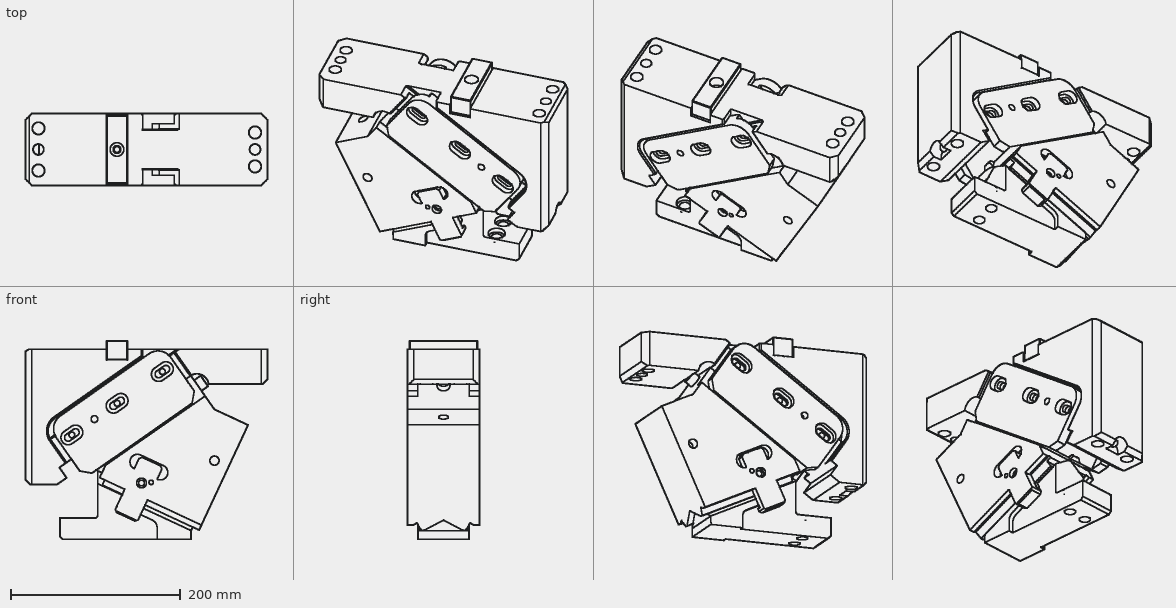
import cadquery as cq
import math


HALF_WIDTH = 42.5
HOUSING_LENGTH = 285.0
HOUSING_TOP = 224.0
HOUSING_BOTTOM = 64.5
ARM_BOTTOM = 182.7
OVERALL_TOP = 234.0
DRILL_POINT_ANGLE = 118.0

SLIDE_ANGLE = 35.0
DRIVE_ANGLE = -25.0
SLIDE_ORIGIN = (54.2, 94.3)
DRIVE_ORIGIN = (130.2, 52.7)


def tilted_point(origin, angle, along, up):
    """XZ position of a point given along and square to a tilted direction."""
    c = math.cos(math.radians(angle))
    s = math.sin(math.radians(angle))
    return (origin[0] + along * c - up * s, origin[1] + along * s + up * c)


def slide_point(along, up):
    return tilted_point(SLIDE_ORIGIN, SLIDE_ANGLE, along, up)


def drive_point(along, up):
    return tilted_point(DRIVE_ORIGIN, DRIVE_ANGLE, along, up)


def side_plane(origin, angle, y):
    """Workplane facing -Y at distance y in front of the middle, with its x axis along the tilt."""
    direction = (math.cos(math.radians(angle)), 0, math.sin(math.radians(angle)))
    return cq.Workplane(cq.Plane(origin=(origin[0], -y, origin[1]), xDir=direction, normal=(0, -1, 0)))


def slide_side(y):
    return side_plane(SLIDE_ORIGIN, SLIDE_ANGLE, y)


def drive_side(y):
    return side_plane(DRIVE_ORIGIN, DRIVE_ANGLE, y)


def cross_plane(angle, start):
    """Workplane at XZ point start whose normal runs along the tilt, with its x axis along +Y."""
    direction = (math.cos(math.radians(angle)), 0, math.sin(math.radians(angle)))
    return cq.Workplane(cq.Plane(origin=(start[0], 0, start[1]), xDir=(0, 1, 0), normal=direction))


def slab(points, half_width):
    """XZ outline extruded symmetrically about Y = 0."""
    return cq.Workplane("XZ").polyline(points).close().extrude(half_width, both=True)


def both_sides(near):
    """A feature on the -Y side together with its mirror image on the +Y side."""
    return near.union(near.mirror("XZ"))


def drilled_hole(point, surface, radius, depth):
    """Blind hole with a drill-point bottom, bored along +Y from the -Y side at distance surface."""
    inward = cq.Vector(0, 1, 0)
    mouth = cq.Vector(point[0], -surface, point[1])
    tip_length = radius / math.tan(math.radians(DRILL_POINT_ANGLE / 2))
    bore = cq.Solid.makeCylinder(radius, depth, mouth, inward)
    tip = cq.Solid.makeCone(radius, 0, tip_length, mouth + inward * depth, inward)
    return bore.fuse(tip)


PLATE_INNER = 30.2
PLATE_LENGTH = 164.5
PLATE_BOTTOM = -27.5
PLATE_TOP = 49.3
PLATE_CHAMFER = 10.3
PLATE_ROUND = 18.5
LIP_INNER = 23.7
LIP_BOTTOM = 34.8
LIP_END = 150.5
FLANGE_TOP = 33.3
FLANGE_ROOT_RAMP = 1.5
PLATE_HOLE_LINE = 23.0
PLATE_SLOT_PLACES = (16.8, 81.8, 146.8)
DOWEL_PLACE = 49.3
DOWEL_RADIUS = 4.0
SLOT_TRAVEL = 10.5
WIDE_SLOT_RADIUS = 8.5
WIDE_SLOT_DEPTH = 7.7
NARROW_SLOT_RADIUS = 4.3
SMALL_SCREW_RADIUS = 3.5
SMALL_SCREW_DEPTH = 14.2

NECK_HALF_WIDTH = 22.8
SLIDER_END = 171.5
SLIDE_EDGE_ROUND = 4.5
HOOK_WALL = -17.0
HOOK_DEPTH = 14.8
HOOK_HEEL = (37.0, HOUSING_BOTTOM)
ARM_NOTCH_MIDDLE = (205.0, 194.5)
ARM_NOTCH_END_X = 215.5
CORNER_CHAMFER = 7.7
BOTTOM_CHAMFER = 5.7
TOP_CHAMFER_X = 4.3
TOP_CHAMFER_Z = 2.8
RECESS_START = -6.8
RECESS_END = 170.7
RECESS_TOP = 50.7
RECESS_CORNER = 18.5
RECESS_CHAMFER = 1.7
POCKET_LEFT_X = 138.0
LEFT_HOLE_X = 15.5
LEFT_HOLE_Y = 24.8
RIGHT_HOLE_X = 270.2
RIGHT_HOLE_Y = 20.0
BOLT_RADIUS = 7.0
DOWEL_BORE_RADIUS = 6.3
BORE_BOTTOM = 73.8
BORE_TIP = 71.0
NOTCH_RADIUS = 10.0
NOTCH_CENTRE_Z = 67.3
NOTCH_DEPTH = 16.0

KEY_LEFT = 95.2
KEY_WIDTH = 25.0
KEY_BOTTOM = 211.2
KEY_HALF_LENGTH = 40.2
KEY_CHAMFER = 0.9
KEY_BORE_RADIUS = 8.0
KEY_BORE_DEPTH = 12.8
KEY_HOLE_RADIUS = 4.5
KEY_MIDDLE = KEY_LEFT + KEY_WIDTH / 2

SLIDER_LEFT = -47.3
SLIDER_RIGHT = 85.0
SLIDER_TOP = 130.0
SLIDER_SHOULDER = 41.0
LEDGE = -29.4
LEDGE_LEFT = 16.0
BOSS_RADIUS = 7.7
BOSS_CENTRE = -14.2
BOSS_LENGTH = 9.5
LIFT_HOLE_RADIUS = 5.7
LIFT_HOLE_DEPTH = 17.0
SIDE_HOLE = (66.7, 75.2)
SIDE_HOLE_RADIUS = 5.5
SIDE_HOLE_DEPTH = 14.2
TIP_START = -40.8
TIP_Y = 26.2
TIP_HEIGHT = -6.5
UNDERCUT_Y = 31.4
UNDERCUT_HEIGHT = 2.5
STEP_Y = 35.5

CLIP_HALF_WIDTH = 14.8
CLIP_INNER = 32.2
CLIP_BOTTOM = -28.8
CLIP_TOP = 42.8
CLIP_CHAMFER = 1.5
CLIP_CORNER_CHAMFER = 2.8
CLIP_LIP_INNER = 26.8
CLIP_LIP_HEIGHT = 6.5
RELIEF_RADIUS = 8.8
RELIEF_CENTRE = 35.5
CLIP_SCREW = (0.0, 15.0)
CLIP_SCREW_BORE = 5.7
CLIP_SCREW_BORE_DEPTH = 5.7
CLIP_PIN = (10.0, 20.5)
CLIP_PIN_RADIUS = 2.5

DRIVER_HALF_WIDTH = 24.0
DRIVER_FLANGE = 30.2
DRIVER_LEFT = 40.5
DRIVER_WALL = 85.0
DRIVER_RIGHT = 195.0
FOOT_HEIGHT = 25.5
FOOT_CHAMFER = 3.5
WALL_FILLET = 2.8
ROOF_ANGLE = 30.0
ROOF_EDGE = -7.5
ROOF_END = 76.7
FLANGE_START = -13.5
FLANGE_UNDERSIDE = -19.0
FLANGE_FOOT_X = 155.0
FLANGE_FILLET = 10.3
FLANGE_NOSE_ROUND = 4.0
FOOT_BOLT_X = 72.5
FOOT_BOLT_Y = 12.5
FOOT_BORE_RADIUS = 10.0
FOOT_BORE_DEPTH = 5.7
FOOT_BOLT_RADIUS = 6.5
RIDGE = ROOF_EDGE + DRIVER_HALF_WIDTH * math.tan(math.radians(ROOF_ANGLE))

BEYOND = 14.2
LONG_CUT = 342.0


def roof_height(y):
    """Height of the driver roof above the slider underside, at distance y from the middle."""
    return RIDGE - y * math.tan(math.radians(ROOF_ANGLE))


def housing_block():
    notch_start = slide_point(SLIDER_END, 0)
    block = (
        cq.Workplane("XZ")
        .moveTo(0, HOUSING_BOTTOM)
        .lineTo(*HOOK_HEEL)
        .lineTo(*slide_point(HOOK_WALL, -HOOK_DEPTH))
        .lineTo(*slide_point(HOOK_WALL, 0))
        .lineTo(*notch_start)
        .threePointArc(ARM_NOTCH_MIDDLE, (ARM_NOTCH_END_X, ARM_BOTTOM))
        .lineTo(HOUSING_LENGTH, ARM_BOTTOM)
        .lineTo(HOUSING_LENGTH, HOUSING_TOP)
        .lineTo(0, HOUSING_TOP)
        .close()
        .extrude(HALF_WIDTH, both=True)
    )
    left_cut = slab(
        [(0, HOUSING_BOTTOM), (BOTTOM_CHAMFER, HOUSING_BOTTOM), (0, HOUSING_BOTTOM + BOTTOM_CHAMFER)], HALF_WIDTH)
    right_cut = slab(
        [
            (HOUSING_LENGTH, ARM_BOTTOM),
            (HOUSING_LENGTH - BOTTOM_CHAMFER, ARM_BOTTOM),
            (HOUSING_LENGTH, ARM_BOTTOM + BOTTOM_CHAMFER),
        ],
        HALF_WIDTH,
    )
    top_cut = slab(
        [(0, HOUSING_TOP), (TOP_CHAMFER_X, HOUSING_TOP), (0, HOUSING_TOP - TOP_CHAMFER_Z)], HALF_WIDTH)
    corners = (
        cq.Workplane("XY")
        .rect(HOUSING_LENGTH, 2 * HALF_WIDTH)
        .extrude(OVERALL_TOP)
        .edges("|Z")
        .chamfer(CORNER_CHAMFER)
        .translate((HOUSING_LENGTH / 2, 0, 0))
    )
    return block.intersect(corners).cut(left_cut).cut(right_cut).cut(top_cut)


def side_recess():
    """Recess for the -Y plate, flared by a chamfer at its mouth."""
    angle = math.radians(SLIDE_ANGLE)
    pocket_corner = (POCKET_LEFT_X - SLIDE_ORIGIN[0] + RECESS_TOP * math.sin(angle)) / math.cos(angle)
    corner_middle = RECESS_CORNER * (1 - math.sqrt(0.5))

    def outline(y):
        return (
            cq.Workplane("XZ", origin=(0, -y, 0))
            .moveTo(*slide_point(RECESS_START, -BEYOND))
            .lineTo(*slide_point(RECESS_START, RECESS_TOP - RECESS_CORNER))
            .threePointArc(
                slide_point(RECESS_START + corner_middle, RECESS_TOP - corner_middle),
                slide_point(RECESS_START + RECESS_CORNER, RECESS_TOP),
            )
            .lineTo(*slide_point(pocket_corner, RECESS_TOP))
            .lineTo(POCKET_LEFT_X, HOUSING_TOP + BEYOND)
            .lineTo(*slide_point(RECESS_END + BEYOND, FLANGE_TOP))
            .lineTo(*slide_point(RECESS_END, FLANGE_TOP))
            .lineTo(*slide_point(RECESS_END, -BEYOND))
            .close()
        )

    recess = outline(NECK_HALF_WIDTH).extrude(HALF_WIDTH - NECK_HALF_WIDTH)
    mouth = outline(HALF_WIDTH - RECESS_CHAMFER).extrude(RECESS_CHAMFER, taper=-45)
    beyond_recess = (
        slide_side(0)
        .moveTo(RECESS_END + RECESS_CHAMFER, -LONG_CUT)
        .rect(LONG_CUT, 2 * LONG_CUT, centered=False)
        .extrude(HALF_WIDTH)
    )
    return recess.union(mouth.cut(beyond_recess))


def housing_flange():
    """Flange along the sliding surface, with rounded lower edges, that the plates reach over."""
    return (
        cross_plane(SLIDE_ANGLE, slide_point(RECESS_START, FLANGE_TOP / 2))
        .rect(2 * PLATE_INNER, FLANGE_TOP)
        .extrude(RECESS_END - RECESS_START)
        .edges(cq.selectors.NearestToPointSelector(slide_edge(-PLATE_INNER)))
        .fillet(SLIDE_EDGE_ROUND)
        .edges(cq.selectors.NearestToPointSelector(slide_edge(PLATE_INNER)))
        .fillet(SLIDE_EDGE_ROUND)
    )


def flange_root_ramp():
    """Small sloping fillers where the flange top meets the neck above it."""
    wide = NECK_HALF_WIDTH + FLANGE_ROOT_RAMP
    return (
        cross_plane(SLIDE_ANGLE, slide_point(RECESS_START, FLANGE_TOP))
        .polyline(
            [(-wide, 0), (-NECK_HALF_WIDTH, FLANGE_ROOT_RAMP), (NECK_HALF_WIDTH, FLANGE_ROOT_RAMP), (wide, 0)]
        )
        .close()
        .extrude(LONG_CUT)
        .intersect(housing_block())
    )


def slide_edge(y):
    """Middle of the edge where the sliding surface meets the plane at y."""
    x, z = slide_point((RECESS_START + RECESS_END) / 2, 0)
    return (x, y, z)


def plate_screw_holes():
    """Blind holes in the flange behind the plate slots."""
    holes = [
        drilled_hole(slide_point(place, PLATE_HOLE_LINE), PLATE_INNER, SMALL_SCREW_RADIUS, SMALL_SCREW_DEPTH)
        for place in PLATE_SLOT_PLACES
    ]
    return both_sides(cq.Workplane(cq.Compound.makeCompound(holes)))


def housing_bolt_holes():
    bolts = (
        cq.Workplane("XY")
        .pushPoints(
            [
                (LEFT_HOLE_X, LEFT_HOLE_Y),
                (LEFT_HOLE_X, -LEFT_HOLE_Y),
                (RIGHT_HOLE_X, RIGHT_HOLE_Y),
                (RIGHT_HOLE_X, -RIGHT_HOLE_Y),
            ]
        )
        .circle(BOLT_RADIUS)
        .extrude(LONG_CUT)
    )
    dowel = cq.Workplane("XY").center(RIGHT_HOLE_X, 0).circle(DOWEL_BORE_RADIUS).extrude(LONG_CUT)
    return bolts.union(dowel)


def left_dowel_bore():
    """Deep bore with a cone-shaped bottom at the middle of the left end."""
    return (
        cq.Workplane("XZ", origin=(LEFT_HOLE_X, 0, 0))
        .polyline(
            [
                (0, BORE_TIP),
                (DOWEL_BORE_RADIUS, BORE_BOTTOM),
                (DOWEL_BORE_RADIUS, OVERALL_TOP),
                (0, OVERALL_TOP),
            ]
        )
        .close()
        .revolve(360, (0, 0, 0), (0, 1, 0))
    )


def bottom_notch():
    """Round-topped notch in the left end that opens half of the dowel bore."""
    return (
        cq.Workplane("YZ")
        .moveTo(-NOTCH_RADIUS, 0)
        .lineTo(-NOTCH_RADIUS, NOTCH_CENTRE_Z)
        .threePointArc((0, NOTCH_CENTRE_Z + NOTCH_RADIUS), (NOTCH_RADIUS, NOTCH_CENTRE_Z))
        .lineTo(NOTCH_RADIUS, 0)
        .close()
        .extrude(NOTCH_DEPTH)
    )


def key_seat():
    seat = slab(
        [
            (KEY_LEFT, KEY_BOTTOM),
            (KEY_LEFT + KEY_WIDTH, KEY_BOTTOM),
            (KEY_LEFT + KEY_WIDTH, HOUSING_TOP),
            (KEY_LEFT, HOUSING_TOP),
        ],
        HALF_WIDTH,
    )
    screw_hole = (
        cq.Workplane("XY", origin=(KEY_MIDDLE, 0, KEY_BOTTOM - SMALL_SCREW_DEPTH))
        .circle(SMALL_SCREW_RADIUS)
        .extrude(SMALL_SCREW_DEPTH)
    )
    return seat.union(screw_hole)


def make_housing():
    return (
        housing_block()
        .cut(both_sides(side_recess()))
        .union(housing_flange())
        .union(flange_root_ramp())
        .cut(plate_screw_holes())
        .cut(housing_bolt_holes())
        .cut(left_dowel_bore())
        .cut(bottom_notch())
        .cut(key_seat())
    )


def make_key():
    height = OVERALL_TOP - KEY_BOTTOM
    bar = (
        cq.Workplane("XY")
        .box(KEY_WIDTH, 2 * KEY_HALF_LENGTH, height)
        .edges()
        .chamfer(KEY_CHAMFER)
        .faces(">Z")
        .workplane()
        .cboreHole(2 * KEY_HOLE_RADIUS, 2 * KEY_BORE_RADIUS, KEY_BORE_DEPTH)
    )
    return bar.translate((KEY_MIDDLE, 0, KEY_BOTTOM + height / 2))


def slider_block():
    return slab(
        [
            drive_point(TIP_START, TIP_HEIGHT),
            drive_point(TIP_START, 0),
            drive_point(SLIDER_LEFT, 0),
            drive_point(SLIDER_LEFT, LEDGE_LEFT),
            slide_point(SLIDER_END, LEDGE),
            drive_point(SLIDER_SHOULDER, SLIDER_TOP),
            drive_point(SLIDER_RIGHT, SLIDER_TOP),
            drive_point(SLIDER_RIGHT, TIP_HEIGHT),
        ],
        HALF_WIDTH,
    )


def slider_tongue():
    """Middle part between the plates, carrying the sliding surface on rounded upper edges."""
    lower = slab(
        [
            drive_point(SLIDER_LEFT, LEDGE_LEFT - BEYOND),
            drive_point(SLIDER_LEFT, LEDGE_LEFT),
            slide_point(SLIDER_END / 4, PLATE_BOTTOM),
            slide_point(SLIDER_END, PLATE_BOTTOM),
            slide_point(SLIDER_END, LEDGE),
            drive_point(SLIDER_SHOULDER, SLIDER_TOP - BEYOND),
        ],
        PLATE_INNER,
    )
    upper = (
        cross_plane(SLIDE_ANGLE, slide_point(PLATE_CHAMFER, PLATE_BOTTOM / 2))
        .rect(2 * PLATE_INNER, -PLATE_BOTTOM)
        .extrude(SLIDER_END - PLATE_CHAMFER)
        .edges(cq.selectors.NearestToPointSelector(slide_edge(-PLATE_INNER)))
        .fillet(SLIDE_EDGE_ROUND)
        .edges(cq.selectors.NearestToPointSelector(slide_edge(PLATE_INNER)))
        .fillet(SLIDE_EDGE_ROUND)
    )
    return lower.union(upper)


def slider_boss():
    """Round stop standing on the upper end of the tongue."""
    return cross_plane(SLIDE_ANGLE, slide_point(SLIDER_END, BOSS_CENTRE)).circle(BOSS_RADIUS).extrude(BOSS_LENGTH)


def plate_outline(inner_y):
    middle = PLATE_ROUND * (1 - math.sqrt(0.5))
    return (
        slide_side(inner_y)
        .moveTo(PLATE_CHAMFER, PLATE_BOTTOM)
        .lineTo(0, PLATE_BOTTOM + PLATE_CHAMFER)
        .lineTo(0, PLATE_TOP - PLATE_ROUND)
        .threePointArc((middle, PLATE_TOP - middle), (PLATE_ROUND, PLATE_TOP))
        .lineTo(PLATE_LENGTH - PLATE_ROUND, PLATE_TOP)
        .threePointArc((PLATE_LENGTH - middle, PLATE_TOP - middle), (PLATE_LENGTH, PLATE_TOP - PLATE_ROUND))
        .lineTo(PLATE_LENGTH, PLATE_BOTTOM + PLATE_CHAMFER)
        .lineTo(PLATE_LENGTH - PLATE_CHAMFER, PLATE_BOTTOM)
        .close()
    )


def plate_slots():
    places = [(place, PLATE_HOLE_LINE) for place in PLATE_SLOT_PLACES]
    wide = (
        slide_side(HALF_WIDTH - WIDE_SLOT_DEPTH)
        .pushPoints(places)
        .slot2D(SLOT_TRAVEL + 2 * WIDE_SLOT_RADIUS, 2 * WIDE_SLOT_RADIUS)
        .extrude(WIDE_SLOT_DEPTH)
    )
    narrow = (
        slide_side(PLATE_INNER)
        .pushPoints(places)
        .slot2D(SLOT_TRAVEL + 2 * NARROW_SLOT_RADIUS, 2 * NARROW_SLOT_RADIUS)
        .extrude(HALF_WIDTH - PLATE_INNER)
    )
    return wide.union(narrow)


def side_plate():
    """Plate on the -Y side, with an inner lip that rests on the housing flange."""
    plate = plate_outline(PLATE_INNER).extrude(HALF_WIDTH - PLATE_INNER)
    lip_zone = (
        slide_side(LIP_INNER)
        .moveTo(0, LIP_BOTTOM)
        .rect(LIP_END, PLATE_TOP - LIP_BOTTOM, centered=False)
        .extrude(HALF_WIDTH - LIP_INNER)
    )
    lip = plate_outline(LIP_INNER).extrude(HALF_WIDTH - LIP_INNER).intersect(lip_zone)
    dowel_hole = (
        slide_side(PLATE_INNER)
        .moveTo(DOWEL_PLACE, PLATE_HOLE_LINE)
        .circle(DOWEL_RADIUS)
        .extrude(HALF_WIDTH - PLATE_INNER)
    )
    return plate.union(lip).cut(plate_slots()).cut(dowel_hole)


def slider_groove():
    """Cutter for the underside: a roof-shaped seat in the middle and an undercut step along each side."""
    seat_y = (RIDGE - TIP_HEIGHT) / math.tan(math.radians(ROOF_ANGLE))
    near = [
        (-HALF_WIDTH, 0),
        (-STEP_Y, 0),
        (-UNDERCUT_Y, UNDERCUT_HEIGHT),
        (-TIP_Y, TIP_HEIGHT),
        (-seat_y, TIP_HEIGHT),
        (0, RIDGE),
    ]
    far = [(-y, height) for y, height in reversed(near[:-1])]
    floor = [(HALF_WIDTH, -BEYOND), (-HALF_WIDTH, -BEYOND)]
    start = drive_point(SLIDER_LEFT - BEYOND, 0)
    return cross_plane(DRIVE_ANGLE, start).polyline(near + far + floor).close().extrude(LONG_CUT)


def clip_relief():
    """Round-ended pocket around the head of a clip, leaving clearance at its corners."""
    return (
        drive_side(CLIP_INNER)
        .moveTo(0, RELIEF_CENTRE)
        .slot2D(2 * (CLIP_HALF_WIDTH + RELIEF_RADIUS), 2 * RELIEF_RADIUS)
        .extrude(HALF_WIDTH - CLIP_INNER)
    )


def clip():
    """Clip on the -Y side, with a lip at its lower end that reaches under the driver flange."""
    body = (
        drive_side(CLIP_INNER)
        .moveTo(-CLIP_HALF_WIDTH, CLIP_BOTTOM)
        .rect(2 * CLIP_HALF_WIDTH, CLIP_TOP - CLIP_BOTTOM, centered=False)
        .extrude(HALF_WIDTH - CLIP_INNER)
    )
    lip = (
        drive_side(CLIP_LIP_INNER)
        .moveTo(-CLIP_HALF_WIDTH, CLIP_BOTTOM)
        .rect(2 * CLIP_HALF_WIDTH, CLIP_LIP_HEIGHT, centered=False)
        .extrude(HALF_WIDTH - CLIP_LIP_INNER)
    )
    corner_zone = (
        drive_side(CLIP_LIP_INNER)
        .moveTo(-CLIP_HALF_WIDTH, CLIP_BOTTOM)
        .rect(2 * CLIP_HALF_WIDTH, CLIP_TOP - CLIP_BOTTOM, centered=False)
        .extrude(HALF_WIDTH - CLIP_LIP_INNER)
        .edges("|Y")
        .chamfer(CLIP_CORNER_CHAMFER)
    )
    edge_zone = (
        cross_plane(DRIVE_ANGLE, drive_point(-CLIP_HALF_WIDTH, CLIP_BOTTOM))
        .polyline(
            [
                (-CLIP_LIP_INNER, 0),
                (CLIP_CHAMFER - HALF_WIDTH, 0),
                (-HALF_WIDTH, CLIP_CHAMFER),
                (-HALF_WIDTH, CLIP_TOP - CLIP_BOTTOM),
                (-CLIP_LIP_INNER, CLIP_TOP - CLIP_BOTTOM),
            ]
        )
        .close()
        .extrude(2 * CLIP_HALF_WIDTH)
    )
    return body.union(lip).intersect(corner_zone).intersect(edge_zone)


def slider_side_holes():
    clip_depth = HALF_WIDTH - CLIP_INNER
    screw_depth = clip_depth + SMALL_SCREW_DEPTH
    screw_bore = drive_side(HALF_WIDTH - CLIP_SCREW_BORE_DEPTH).moveTo(*CLIP_SCREW).circle(CLIP_SCREW_BORE)
    near = (
        screw_bore.extrude(CLIP_SCREW_BORE_DEPTH)
        .union(drilled_hole(drive_point(*CLIP_SCREW), HALF_WIDTH, SMALL_SCREW_RADIUS, screw_depth))
        .union(drilled_hole(drive_point(*CLIP_PIN), HALF_WIDTH, CLIP_PIN_RADIUS, clip_depth))
        .union(drilled_hole(drive_point(*SIDE_HOLE), HALF_WIDTH, SIDE_HOLE_RADIUS, SIDE_HOLE_DEPTH))
    )
    return both_sides(near)


def lift_hole():
    """Blind hole at the middle of the slider's sloping top face."""
    x, z = drive_point((SLIDER_SHOULDER + SLIDER_RIGHT) / 2, SLIDER_TOP - LIFT_HOLE_DEPTH)
    angle = math.radians(DRIVE_ANGLE)
    up = (-math.sin(angle), 0, math.cos(angle))
    plane = cq.Plane(origin=(x, 0, z), xDir=(0, 1, 0), normal=up)
    return cq.Workplane(plane).circle(LIFT_HOLE_RADIUS).extrude(LIFT_HOLE_DEPTH)


def make_slider():
    return (
        slider_block()
        .union(slider_tongue())
        .cut(slider_groove())
        .union(slider_boss())
        .union(both_sides(side_plate()))
        .cut(both_sides(clip_relief()))
        .union(both_sides(clip()))
        .cut(slider_side_holes())
        .cut(lift_hole())
    )


def driver_block():
    wall_top = drive_point(SLIDER_LEFT, RIDGE + BEYOND)[1]
    return (
        slab(
            [
                (DRIVER_LEFT, 0),
                (DRIVER_RIGHT, 0),
                drive_point(ROOF_END, roof_height(DRIVER_FLANGE)),
                drive_point(ROOF_END, RIDGE + BEYOND),
                (DRIVER_WALL, wall_top),
                (DRIVER_WALL, FOOT_HEIGHT),
                (DRIVER_LEFT, FOOT_HEIGHT),
            ],
            DRIVER_HALF_WIDTH,
        )
        .edges(cq.selectors.NearestToPointSelector((DRIVER_LEFT, 0, 0)))
        .chamfer(FOOT_CHAMFER)
        .edges(cq.selectors.NearestToPointSelector((DRIVER_WALL, 0, FOOT_HEIGHT)))
        .fillet(WALL_FILLET)
    )


def driver_flange():
    """Wider part under the roof that the clips reach beneath, widening to the base at its lower end."""
    run = math.radians(DRIVE_ANGLE)
    foot_along = (FLANGE_FOOT_X - DRIVE_ORIGIN[0] + FLANGE_UNDERSIDE * math.sin(run)) / math.cos(run)
    nose_x, nose_z = drive_point(FLANGE_START, FLANGE_UNDERSIDE)
    corner_x, corner_z = drive_point(foot_along, FLANGE_UNDERSIDE)
    return (
        slab(
            [
                (nose_x, nose_z),
                (corner_x, corner_z),
                (FLANGE_FOOT_X, 0),
                (DRIVER_RIGHT, 0),
                drive_point(ROOF_END, roof_height(DRIVER_FLANGE)),
                drive_point(ROOF_END, RIDGE + BEYOND),
                drive_point(FLANGE_START, RIDGE + BEYOND),
            ],
            DRIVER_FLANGE,
        )
        .edges(cq.selectors.NearestToPointSelector((corner_x, 0, corner_z)))
        .fillet(FLANGE_FILLET)
        .edges(cq.selectors.NearestToPointSelector((nose_x, 0, nose_z)))
        .fillet(FLANGE_NOSE_ROUND)
    )


def above_roof():
    """Everything above the two sloping roof faces."""
    outer = DRIVER_FLANGE + BEYOND
    start = drive_point(SLIDER_LEFT - BEYOND, 0)
    return (
        cross_plane(DRIVE_ANGLE, start)
        .polyline(
            [
                (-outer, roof_height(outer)),
                (0, RIDGE),
                (outer, roof_height(outer)),
                (outer, LONG_CUT),
                (-outer, LONG_CUT),
            ]
        )
        .close()
        .extrude(LONG_CUT)
    )


def foot_bolt_holes():
    places = [(FOOT_BOLT_X, FOOT_BOLT_Y), (FOOT_BOLT_X, -FOOT_BOLT_Y)]
    bores = (
        cq.Workplane("XY", origin=(0, 0, FOOT_HEIGHT - FOOT_BORE_DEPTH))
        .pushPoints(places)
        .circle(FOOT_BORE_RADIUS)
        .extrude(FOOT_BORE_DEPTH + WALL_FILLET)
    )
    bolts = cq.Workplane("XY").pushPoints(places).circle(FOOT_BOLT_RADIUS).extrude(FOOT_HEIGHT)
    return bores.union(bolts)


def make_driver():
    return driver_block().union(driver_flange()).cut(above_roof()).cut(foot_bolt_holes())


housing = make_housing()
key = make_key()
slider = make_slider()
driver = make_driver()

bodies = [housing, key, slider, driver]
result = cq.Compound.makeCompound([body.solids().val() for body in bodies])